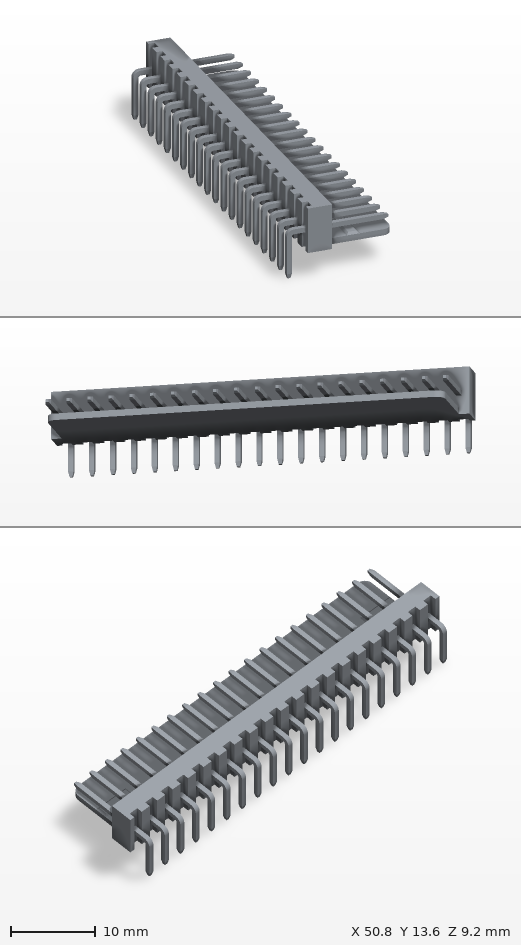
import cadquery as cq

PIN_COUNT = 20
PITCH = 2.54
PIN_SIZE = 0.64

WALL_LENGTH = PIN_COUNT * PITCH
WALL_DEPTH = 3.1
WALL_HEIGHT = 5.8
WALL_FRONT_Y = 2.28
WALL_BACK_Y = WALL_FRONT_Y + WALL_DEPTH

CHANNEL_WIDTH = 1.22
CHANNEL_DEPTH = 0.78

SHELF_LENGTH = (PIN_COUNT - 1) * PITCH
SHELF_BACK_Y = 13.62
SHELF_THICKNESS = 0.8
SHELF_CORNER_RADIUS = 1.15

PIN_AXIS_Z = 2.61
PIN_BACK_Y = 13.0
PIN_BOTTOM_Z = -3.4
BEND_INNER_RADIUS = 0.28
BEND_OUTER_RADIUS = BEND_INNER_RADIUS + PIN_SIZE
TIP_LENGTH = 0.62
TIP_SIZE = 0.36

BUMP_LENGTH = 4.83
BUMP_WIDTH = 1.66
BUMP_HEIGHT = 0.3
BUMP_SLOPE_RUN = 0.3
BUMP_CENTER_X = SHELF_LENGTH / 2 - BUMP_LENGTH / 2
BUMP_DISTANCE_FROM_WALL = 3.23
BUMP_CENTER_Y = WALL_BACK_Y + BUMP_DISTANCE_FROM_WALL

pin_positions = [(i - (PIN_COUNT - 1) / 2) * PITCH for i in range(PIN_COUNT)]


def make_wall():
    """Upright block with a full-height channel in front of every pin."""
    wall = cq.Workplane("XY").box(WALL_LENGTH, WALL_DEPTH, WALL_HEIGHT, centered=(True, False, False))
    channels = (
        cq.Workplane("XY")
        .pushPoints([(x, 0) for x in pin_positions])
        .box(CHANNEL_WIDTH, 2 * CHANNEL_DEPTH, WALL_HEIGHT, centered=(True, True, False))
    )
    return wall.cut(channels).translate((0, WALL_FRONT_Y, 0))


def make_shelf():
    """Flat plate behind the wall with its two far corners rounded."""
    return (
        cq.Workplane("XY")
        .box(SHELF_LENGTH, SHELF_BACK_Y - WALL_BACK_Y, SHELF_THICKNESS, centered=(True, False, False))
        .edges("|Z and >Y")
        .fillet(SHELF_CORNER_RADIUS)
        .translate((0, WALL_BACK_Y, 0))
    )


def make_tip(plane):
    """Pyramid-shaped pin end, growing along the normal of the given plane."""
    return (
        cq.Workplane(plane)
        .rect(PIN_SIZE, PIN_SIZE)
        .workplane(offset=TIP_LENGTH)
        .rect(TIP_SIZE, TIP_SIZE)
        .loft(ruled=True)
    )


def make_pin(x):
    """Right-angle square pin: mating end along +Y, solder leg along -Z."""
    top_z = PIN_AXIS_Z + PIN_SIZE / 2
    shank_back_y = PIN_BACK_Y - TIP_LENGTH
    leg_bottom_z = PIN_BOTTOM_Z + TIP_LENGTH
    shank = (
        cq.Workplane("YZ")
        .moveTo(0, leg_bottom_z)
        .lineTo(0, top_z - BEND_OUTER_RADIUS)
        .radiusArc((BEND_OUTER_RADIUS, top_z), BEND_OUTER_RADIUS)
        .lineTo(shank_back_y, top_z)
        .lineTo(shank_back_y, top_z - PIN_SIZE)
        .lineTo(BEND_OUTER_RADIUS, top_z - PIN_SIZE)
        .radiusArc((PIN_SIZE, top_z - BEND_OUTER_RADIUS), -BEND_INNER_RADIUS)
        .lineTo(PIN_SIZE, leg_bottom_z)
        .close()
        .extrude(PIN_SIZE / 2, both=True)
    )
    mating_tip = make_tip(cq.Plane((0, shank_back_y, PIN_AXIS_Z), xDir=(1, 0, 0), normal=(0, 1, 0)))
    solder_tip = make_tip(cq.Plane((0, PIN_SIZE / 2, leg_bottom_z), xDir=(1, 0, 0), normal=(0, 0, -1)))
    return shank.union(mating_tip).union(solder_tip).translate((x, 0, 0))


def make_header():
    """Wall, shelf and the pins moulded into the wall, as one solid."""
    header = make_wall().union(make_shelf())
    for x in pin_positions:
        header = header.union(make_pin(x))
    return header


def make_latch_bump(x):
    """Low bump with four sloping sides, resting on top of the shelf."""
    return (
        cq.Workplane("XY")
        .rect(BUMP_LENGTH, BUMP_WIDTH)
        .workplane(offset=BUMP_HEIGHT)
        .rect(BUMP_LENGTH - 2 * BUMP_SLOPE_RUN, BUMP_WIDTH - 2 * BUMP_SLOPE_RUN)
        .loft(ruled=True)
        .translate((x, BUMP_CENTER_Y, SHELF_THICKNESS))
    )


header = make_header()
latch_bumps = [make_latch_bump(side * BUMP_CENTER_X) for side in (-1, 1)]

result = cq.Compound.makeCompound([header.val(), *[bump.val() for bump in latch_bumps]])